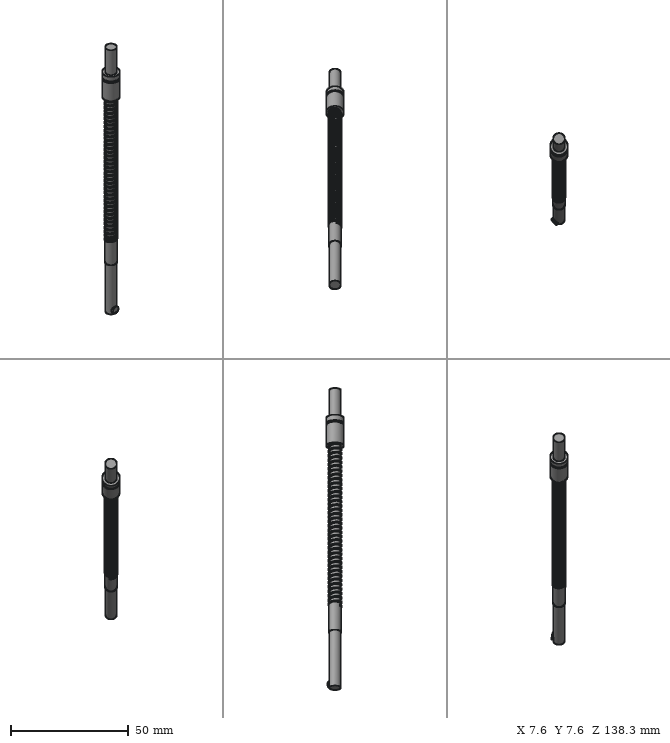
import cadquery as cq

spindle_length = 138.3
shoulder_bottom = 25.9
shoulder_top = 39.0
collar_bottom = 112.4
collar_length = 9.5
ring_gap = 0.8
ring_length = 2.5

journal_radius = 5.0 / 2
shoulder_radius = 5.4 / 2
root_radius = 4.7 / 2
crest_radius = 5.7 / 2
collar_radius = 7.6 / 2

thread_start = 37.5
thread_turns = 36.9
ridge_width = 0.4
ridge_sink = 0.3
thread_pitch = (collar_bottom - thread_start) / thread_turns

pin_radius = 1.7
pin_height = 2.1
pin_reach = 2.9


def cylinder(radius, bottom, top):
    return cq.Workplane("XY").workplane(offset=bottom).circle(radius).extrude(top - bottom)


def make_core():
    core = cylinder(journal_radius, 0, shoulder_bottom)
    core = core.union(cylinder(shoulder_radius, shoulder_bottom, shoulder_top))
    core = core.union(cylinder(root_radius, shoulder_top, collar_bottom))
    return core.union(cylinder(journal_radius, collar_bottom, spindle_length))


def make_ridge():
    """Helical ridge that starts on the -X side and is trimmed level under the collar."""
    swept_height = collar_bottom - thread_start + ridge_width
    inner_radius = root_radius - ridge_sink
    helix = cq.Wire.makeHelix(thread_pitch, swept_height, root_radius)
    ridge = (
        cq.Workplane("XZ")
        .center((inner_radius + crest_radius) / 2, 0)
        .rect(crest_radius - inner_radius, ridge_width)
        .sweep(cq.Workplane(obj=helix), isFrenet=True)
        .rotate((0, 0, 0), (0, 0, 1), 180)
        .translate((0, 0, thread_start))
    )
    return ridge.cut(cylinder(collar_radius, collar_bottom, spindle_length))


def make_pin():
    return cq.Workplane("YZ").center(0, pin_height).circle(pin_radius).extrude(pin_reach)


def make_spindle():
    return make_core().union(make_pin()).union(make_ridge())


def make_bushing(bottom, length):
    """Plain tube that fits on the spindle's upper journal."""
    outside = cylinder(collar_radius, bottom, bottom + length)
    return outside.cut(cylinder(journal_radius, bottom, bottom + length))


spindle = make_spindle()
collar = make_bushing(collar_bottom, collar_length)
ring = make_bushing(collar_bottom + collar_length + ring_gap, ring_length)

result = cq.Compound.makeCompound([spindle.val(), collar.val(), ring.val()])